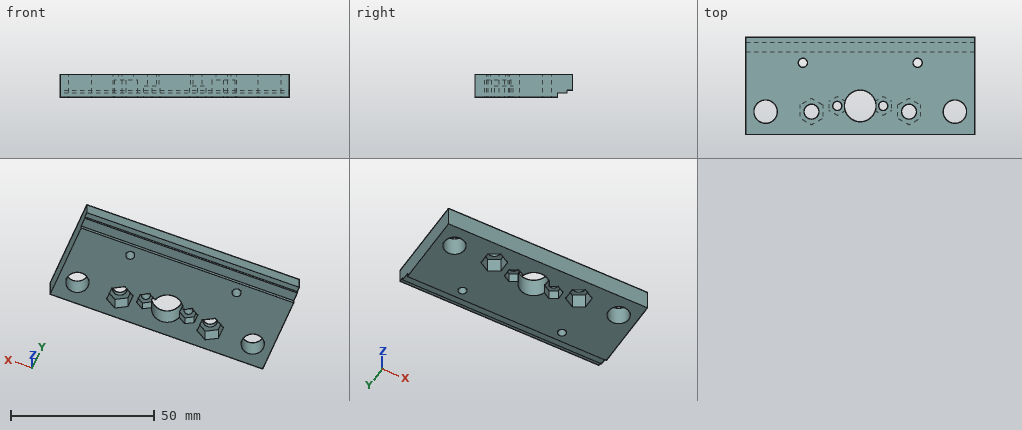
import cadquery as cq
import math

length = 80.0
width = 34.0
thickness = 8.0

outer_step_width = 1.8
outer_step_height = 2.4
inner_step_width = 5.2
inner_step_height = 1.4

rear_hole_diameter = 3.1
rear_hole_spacing = length / 2
rear_hole_y = 25.0

outer_hole_diameter = 8.1
outer_hole_spacing = 66.0
bolt_row_y = 8.0

bolt_hole_diameter = 5.1
bolt_hole_spacing = 34.0
bolt_nut_flats = 8.0
bolt_nut_ceiling = 2.0

center_bore_diameter = 11.0
center_row_y = 10.0

small_hole_diameter = 3.1
small_hole_spacing = 16.0
small_nut_flats = 5.7
small_nut_ceiling = 4.0


def mirrored_points(spacing, y):
    return [(side * spacing / 2, y) for side in (-1, 1)]


def through_holes(points, diameter):
    return cq.Workplane("XY").pushPoints(points).circle(diameter / 2).extrude(thickness)


def nut_pockets(points, flats, ceiling):
    """Hexagonal pockets open at the underside, with two flats facing along X."""
    depth = thickness - ceiling
    corner_diameter = flats / math.cos(math.pi / 6)
    pockets = cq.Workplane("XY")
    for x, y in points:
        hexagon = cq.Workplane("XY").polygon(6, corner_diameter).extrude(depth)
        pockets = pockets.add(hexagon.rotate((0, 0, 0), (0, 0, 1), 30).translate((x, y, 0)))
    return pockets.combine()


def stepped_plate():
    profile = (
        cq.Workplane("YZ", origin=(-length / 2, 0, 0))
        .moveTo(0, 0)
        .lineTo(width - inner_step_width, 0)
        .lineTo(width - inner_step_width, inner_step_height)
        .lineTo(width - outer_step_width, inner_step_height)
        .lineTo(width - outer_step_width, outer_step_height)
        .lineTo(width, outer_step_height)
        .lineTo(width, thickness)
        .lineTo(0, thickness)
        .close()
    )
    return profile.extrude(length)


rear_points = mirrored_points(rear_hole_spacing, rear_hole_y)
outer_points = mirrored_points(outer_hole_spacing, bolt_row_y)
bolt_points = mirrored_points(bolt_hole_spacing, bolt_row_y)
small_points = mirrored_points(small_hole_spacing, center_row_y)

result = (
    stepped_plate()
    .cut(through_holes(rear_points, rear_hole_diameter))
    .cut(through_holes(outer_points, outer_hole_diameter))
    .cut(through_holes(bolt_points, bolt_hole_diameter))
    .cut(through_holes([(0, center_row_y)], center_bore_diameter))
    .cut(through_holes(small_points, small_hole_diameter))
    .cut(nut_pockets(bolt_points, bolt_nut_flats, bolt_nut_ceiling))
    .cut(nut_pockets(small_points, small_nut_flats, small_nut_ceiling))
)